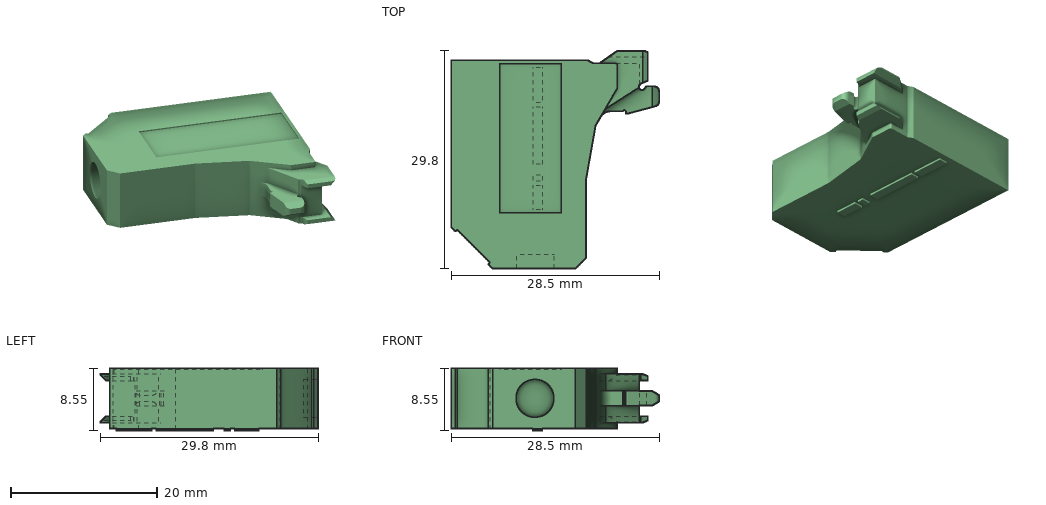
import cadquery as cq
import math

body_height = 8.28
mid_z = body_height / 2
foot_right_x = 18.48
foot_chamfer = 1.45
waist_y = 12.2
hip_x, hip_y = 19.8, 19.58
head_right_x = 22.7
head_lower_y = 24.65
head_top_y = 28.13
head_corner_chamfer = 0.15
body_top_y = 28.55
step_start_x = 18.68
step_end_x = 19.43

bevel_size = 5.65
lip_run = 0.57
lip_step_along = 0.3
lip_step_across = 0.18

label_left_x, label_right_x = 6.62, 15.08
label_lower_y, label_upper_y = 7.65, 28.07
label_depth = 0.18

wire_hole_diameter = 5.2
wire_hole_depth = 2.0
wire_hole_x = 11.47

bar_height = 0.27
bar_left_x, bar_right_x = 11.15, 12.5
bar_spans = [(8.1, 11.4), (12.0, 12.87), (14.33, 22.17), (22.8, 27.6)]

fork_height = 6.7
leg_thickness = 0.92
fork_top_y = 29.8
fork_right_x = 26.95
fork_shoulder_x = 22.7
fork_shoulder_slope = 0.7
fork_corner_chamfer = 0.25
fork_root_x, fork_root_y = 21.15, 21.87
fork_heel_x, fork_heel_y = 20.95, 21.6
fork_end_low_y = 25.72
fork_face_slope = 0.64
web_right_x = 25.78
web_top_y = head_top_y
leg_tip_length = 0.72
leg_tip_drop = 0.33
leg_edge_chamfer = 0.77

relief_x, relief_y = 26.13, 24.88
relief_radius = 0.42

tongue_thickness = 2.03
tongue_right_x = 28.5
tongue_tip_x = 27.5
tongue_tip_thickness = 0.83
tongue_top_y = 24.97
tongue_lower_y = 21.52
tongue_mouth_x = 26.7
tongue_heel_left_x, tongue_heel_right_x = 23.93, 24.23
tongue_heel_y = 21.22
tongue_rise_angle = 15.0
tongue_corner_radius = 0.75
root_arc_radius = 1.5
root_arc_end_x = 21.75
notch_left_x = 23.48
notch_peak_x = 23.7
notch_top_y = 21.75

fork_anchor_x = 19.67
tongue_anchor_x = 20.47


def prism(points, bottom_z, height):
    """Closed XY outline raised from bottom_z."""
    return cq.Workplane("XY").workplane(offset=bottom_z).polyline(points).close().extrude(height)


def wedge_pair(plane, points, length):
    """Cutter of length along the plane's normal, with its twin mirrored below mid height.

    Points are (position along the part, height above mid height).
    """
    wedge = cq.Workplane(plane, origin=(0, 0, mid_z)).polyline(points).close().extrude(length)
    return wedge.union(wedge.mirror("XY", (0, 0, mid_z)))


def make_housing():
    lip_end = bevel_size - lip_run
    outline = [
        (0, body_top_y),
        (0, bevel_size),
        (lip_run, lip_end),
        (lip_run + lip_step_along, lip_end + lip_step_across),
        (lip_end + lip_step_across, lip_run + lip_step_along),
        (lip_end, lip_run),
        (bevel_size, 0),
        (foot_right_x - foot_chamfer, 0),
        (foot_right_x, foot_chamfer),
        (foot_right_x, waist_y),
        (hip_x, hip_y),
        (head_right_x, head_lower_y),
        (head_right_x, head_top_y - head_corner_chamfer),
        (head_right_x - head_corner_chamfer, head_top_y),
        (step_end_x, head_top_y),
        (step_start_x, body_top_y),
    ]
    return prism(outline, 0, body_height)


def make_label_recess():
    return cq.Workplane("XY").box(
        label_right_x - label_left_x, label_upper_y - label_lower_y, label_depth, centered=False
    ).translate((label_left_x, label_lower_y, body_height - label_depth))


def make_wire_hole():
    return (
        cq.Workplane("XZ")
        .center(wire_hole_x, mid_z)
        .circle(wire_hole_diameter / 2)
        .extrude(-wire_hole_depth)
    )


def make_marking_bar(lower_y, upper_y):
    return cq.Workplane("XY").box(
        bar_right_x - bar_left_x, upper_y - lower_y, bar_height, centered=False
    ).translate((bar_left_x, lower_y, -bar_height))


def fork_gap():
    """Space between the legs, open beyond the web towards +X and +Y."""
    gap_height = fork_height - 2 * leg_thickness
    right_part = cq.Workplane("XY").box(
        fork_right_x - web_right_x, fork_top_y, gap_height, centered=(False, False, True)
    ).translate((web_right_x, 0, mid_z))
    top_part = cq.Workplane("XY").box(
        fork_right_x, fork_top_y - web_top_y, gap_height, centered=(False, False, True)
    ).translate((0, web_top_y, mid_z))
    return right_part.union(top_part)


def make_fork():
    half_height = fork_height / 2
    web_corner_y = fork_root_y + fork_face_slope * (web_right_x - fork_root_x)
    outline = [
        (fork_anchor_x, fork_heel_y),
        (fork_heel_x, fork_heel_y),
        (fork_root_x, fork_root_y),
        (web_right_x, web_corner_y),
        (relief_x - relief_radius / 2, relief_y + relief_radius),
        (fork_right_x, fork_end_low_y),
        (fork_right_x, fork_top_y - fork_corner_chamfer),
        (fork_right_x - fork_corner_chamfer, fork_top_y),
        (fork_shoulder_x, fork_top_y),
        (fork_anchor_x, fork_top_y - fork_shoulder_slope * (fork_shoulder_x - fork_anchor_x)),
    ]
    fork = prism(outline, mid_z - half_height, fork_height).cut(fork_gap())

    tip_wedge = [
        (fork_right_x - leg_tip_length, half_height),
        (fork_right_x, half_height),
        (fork_right_x, half_height - leg_tip_drop),
    ]
    fork = fork.cut(wedge_pair("XZ", tip_wedge, -fork_top_y))

    gap_half = half_height - leg_thickness
    edge_wedge = [
        (fork_top_y - leg_edge_chamfer, gap_half),
        (fork_top_y, gap_half),
        (fork_top_y, gap_half + leg_edge_chamfer),
    ]
    return fork.cut(wedge_pair("YZ", edge_wedge, fork_right_x))


def make_tongue():
    rise = math.tan(math.radians(tongue_rise_angle))
    lower_right_y = tongue_heel_y + rise * (tongue_right_x - tongue_heel_right_x)
    root_run = root_arc_end_x - tongue_anchor_x
    root_center_y = tongue_lower_y - root_arc_radius
    root_start_y = root_center_y + math.sqrt(root_arc_radius**2 - root_run**2)
    root_mid_y = root_center_y + math.sqrt(root_arc_radius**2 - (root_run / 2) ** 2)
    relief_diagonal = relief_radius * math.sqrt(0.5)

    tongue = (
        cq.Workplane("XY")
        .workplane(offset=mid_z - tongue_thickness / 2)
        .moveTo(tongue_anchor_x, root_start_y)
        .threePointArc((tongue_anchor_x + root_run / 2, root_mid_y), (root_arc_end_x, tongue_lower_y))
        .lineTo(notch_left_x, tongue_lower_y)
        .lineTo(notch_peak_x, notch_top_y)
        .lineTo(tongue_heel_left_x, tongue_lower_y)
        .lineTo(tongue_heel_left_x, tongue_heel_y)
        .lineTo(tongue_heel_right_x, tongue_heel_y)
        .lineTo(tongue_right_x, lower_right_y)
        .lineTo(tongue_right_x, tongue_top_y)
        .lineTo(tongue_mouth_x, tongue_top_y)
        .lineTo(relief_x + relief_diagonal, relief_y - relief_diagonal)
        .lineTo(relief_x, relief_y)
        .lineTo(web_right_x, tongue_top_y)
        .lineTo(tongue_anchor_x, fork_root_y)
        .close()
        .extrude(tongue_thickness)
    )
    for corner_y in (tongue_top_y, lower_right_y):
        corner = cq.selectors.NearestToPointSelector((tongue_right_x, corner_y, mid_z))
        tongue = tongue.edges(corner).fillet(tongue_corner_radius)

    tip_wedge = [
        (tongue_tip_x, tongue_thickness / 2),
        (tongue_right_x, tongue_thickness / 2),
        (tongue_right_x, tongue_tip_thickness / 2),
    ]
    return tongue.cut(wedge_pair("XZ", tip_wedge, -fork_top_y))


def make_relief_hole():
    return cq.Workplane("XY").center(relief_x, relief_y).circle(relief_radius).extrude(body_height)


plug = make_fork().union(make_tongue()).cut(make_relief_hole())
result = make_housing().union(plug).cut(make_label_recess()).cut(make_wire_hole())
for lower_y, upper_y in bar_spans:
    result = result.union(make_marking_bar(lower_y, upper_y))